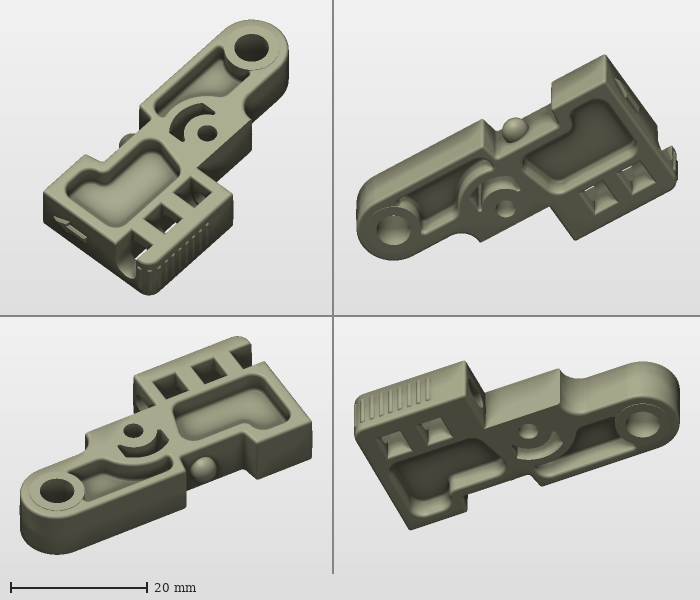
import cadquery as cq
import math

body_half_height = 4.0
draft_angle = 1.0
edge_radius = 0.45
head_radius = 5.5
shoulder_x = 8.6
shoulder_start_y = -6.5
shoulder_radius = 2.95
lug_top_y = -21.4
right_x = 15.9
bottom_y = -40.05
grip_corner_radius = 2.05

notch_center_y = -24.65
notch_floor_x = -2.5
notch_floor_half = 5.3
notch_wall_angle = 10.0
ball_diameter = 4.0
ball_x = -2.95
ball_y = -22.9

collar_diameter = 8.1
collar_half_height = 4.1
pivot_hole_diameter = 5.05
pin_hole_diameter = 2.95
pin_x = 5.55
pin_y = -15.9
slot_inner_radius = 3.45
slot_outer_radius = 5.6
slot_half_length = 3.7
slot_tip_radius = 0.35
slot_draft = 2.0

pocket_depth = 3.2
pocket_edge_radius = 0.45
upper_left_x = -3.9
upper_right_x = 2.9
upper_wall_radius = 7.1
upper_left_top_y = -2.7
upper_right_top_y = -3.35
upper_top_radius = 0.6
upper_bend_radius = 1.65
upper_tip_radius = 0.35
upper_wall_middle_angle = 30.0
upper_bottom_y = -18.05
upper_bottom_radius = 1.95
lower_left_x = -3.5
lower_neck_x = -0.55
lower_right_x = 7.6
lower_bottom_y = -38.05
lower_step_y = -32.1
lower_top_y = -21.1
lower_top_angle = 16.0
lower_corner_radius = 2.02
lower_neck_radius = 1.4

channel_x = 11.15
channel_diameter = 4.0
window_length = 3.75
window_pitch = 6.5 / 2
first_window_y = -25.3
window_count = 5
window_edge_radius = 0.35
outlet_height = 2.95
outlet_spread = 2.3

ridge_radius = 0.45
ridge_height = 0.2
ridge_half_length = 2.55
ridge_chamfer = 0.15
straight_ridges = 8
straight_ridge_span = 10.5

arrow_height = 0.45
arrow_chamfer = 0.3
arrow_tip_x = -3.05
arrow_base_x = 0.05
arrow_tail_x = 3.5
arrow_head_half = 1.4
arrow_shaft_half = 0.7

sink = 0.15
tolerance = 4.6e-07


def rounded_outline(corners):
    """Closed outline through (x, y, radius) corners, each rounded by a tangent arc."""
    outline = cq.Workplane("XY")
    count = len(corners)
    current = None
    for i in range(count):
        x, y, radius = corners[i]
        point = cq.Vector(x, y)
        back = (cq.Vector(*corners[i - 1][:2]) - point).normalized()
        ahead = (cq.Vector(*corners[(i + 1) % count][:2]) - point).normalized()
        half_angle = back.getAngle(ahead) / 2
        tangent_length = radius / math.tan(half_angle)
        arc_start = point + back * tangent_length
        arc_end = point + ahead * tangent_length
        arc_middle = point + (back + ahead).normalized() * (radius / math.sin(half_angle) - radius)
        if current is None:
            outline = outline.moveTo(arc_start.x, arc_start.y)
        elif (arc_start - current).Length > tolerance:
            outline = outline.lineTo(arc_start.x, arc_start.y)
        if radius > 0:
            outline = outline.threePointArc(arc_middle.toTuple()[:2], arc_end.toTuple()[:2])
        current = arc_end
    return outline.close()


def both_halves(half):
    return half.union(half.mirror("XY"))


def upright_edge(x, y):
    """Select the edge whose middle is closest to a point of an outline, at half pocket depth."""
    return cq.selectors.NearestToPointSelector((x, y, body_half_height - pocket_depth / 2))


def drafted_plate(corners):
    """Upper half plate with drafted sides and a rounded top edge."""
    plate = rounded_outline(corners).extrude(body_half_height, taper=draft_angle)
    return plate.faces(">Z").edges().fillet(edge_radius)


def half_body():
    notch_drop = (notch_floor_x + head_radius) * math.tan(math.radians(notch_wall_angle))
    floor_top_y = notch_center_y + notch_floor_half
    floor_bottom_y = notch_center_y - notch_floor_half
    shoulder_y = shoulder_start_y - shoulder_radius
    arm = drafted_plate(
        [
            (-head_radius, head_radius, head_radius),
            (head_radius, head_radius, head_radius),
            (head_radius, shoulder_y, shoulder_radius),
            (right_x, shoulder_y, 0),
            (right_x, bottom_y, 0),
            (-head_radius, bottom_y, edge_radius),
            (-head_radius, floor_bottom_y - notch_drop, edge_radius),
            (notch_floor_x, floor_bottom_y, edge_radius),
            (notch_floor_x, floor_top_y, edge_radius),
            (-head_radius, floor_top_y + notch_drop, edge_radius),
        ]
    )
    trim_length = 2 * (shoulder_y - bottom_y)
    arm = arm.cut(
        cq.Workplane("XY")
        .center(shoulder_x, bottom_y)
        .box(trim_length, 2 * trim_length, 2 * body_half_height + 0.45, centered=(False, True, True))
    )
    lug = drafted_plate(
        [
            (pin_x, lug_top_y, 0),
            (right_x, lug_top_y, edge_radius),
            (right_x, bottom_y, grip_corner_radius),
            (pin_x, bottom_y, 0),
        ]
    )
    return arm.union(lug)


def upper_pocket():
    """Sharp-cornered outline along the collar and the slot wall, then rounded upright edges."""
    arc_top_y = pin_y + math.sqrt(upper_wall_radius**2 - (pin_x - upper_right_x) ** 2)
    arc_end_x = pin_x - math.sqrt(upper_wall_radius**2 - (pin_y - upper_bottom_y) ** 2)
    pocket = (
        cq.Workplane("XY")
        .workplane(offset=body_half_height - pocket_depth)
        .moveTo(upper_left_x, upper_left_top_y)
        .lineTo(upper_right_x, upper_right_top_y)
        .lineTo(upper_right_x, arc_top_y)
        .threePointArc(
            (
                pin_x - upper_wall_radius * math.cos(math.radians(upper_wall_middle_angle)),
                pin_y + upper_wall_radius * math.sin(math.radians(upper_wall_middle_angle)),
            ),
            (arc_end_x, upper_bottom_y),
        )
        .lineTo(upper_left_x, upper_bottom_y)
        .close()
        .extrude(pocket_depth)
    )
    for x, y, radius in (
        (upper_left_x, upper_left_top_y, upper_top_radius),
        (upper_right_x, upper_right_top_y, upper_top_radius),
        (upper_right_x, arc_top_y, upper_bend_radius),
        (upper_left_x, upper_bottom_y, upper_bottom_radius),
        (arc_end_x, upper_bottom_y, upper_tip_radius),
    ):
        pocket = pocket.edges(upright_edge(x, y)).fillet(radius)
    return pocket


def lower_pocket():
    neck_rise = (lower_neck_x - lower_left_x) * math.tan(math.radians(notch_wall_angle))
    top_drop = (lower_right_x - lower_neck_x) * math.tan(math.radians(lower_top_angle))
    return (
        rounded_outline(
            [
                (lower_neck_x, lower_top_y, lower_corner_radius),
                (lower_right_x, lower_top_y - top_drop, lower_corner_radius),
                (lower_right_x, lower_bottom_y, lower_corner_radius),
                (lower_left_x, lower_bottom_y, lower_corner_radius),
                (lower_left_x, lower_step_y, lower_corner_radius),
                (lower_neck_x, lower_step_y + neck_rise, lower_neck_radius),
            ]
        )
        .extrude(pocket_depth)
        .translate((0, 0, body_half_height - pocket_depth))
    )


def round_rim(body, cutter, radius):
    """Round the top edges of the body that run along the top outline of a cutter."""
    outline = cutter.faces(">Z").edges().vals()
    rim = [
        edge
        for edge in body.faces(">Z").edges().vals()
        if any(
            edge.distance(wanted) < tolerance
            and wanted.distance(cq.Vertex.makeVertex(*edge.Center().toTuple())) < tolerance
            for wanted in outline
        )
    ]
    return body.newObject(rim).fillet(radius)


def cut_pocket(body, pocket):
    """Cut a pocket from the top with a rounded floor edge and a rounded rim."""
    body = body.cut(pocket.faces("<Z").edges().fillet(pocket_edge_radius))
    return round_rim(body, pocket, pocket_edge_radius)


def half_collar():
    """Upper half of the collar, with a concave round where it stands on the pocket floor."""
    radius = collar_diameter / 2
    floor_z = body_half_height - pocket_depth
    bend = pocket_edge_radius * (1 - math.sqrt(0.5))
    return (
        cq.Workplane("XZ")
        .lineTo(radius + pocket_edge_radius, 0)
        .lineTo(radius + pocket_edge_radius, floor_z)
        .threePointArc((radius + bend, floor_z + bend), (radius, floor_z + pocket_edge_radius))
        .lineTo(radius, collar_half_height)
        .lineTo(0, collar_half_height)
        .close()
        .revolve(360, (0, 0, 0), (0, 1, 0))
    )


def flared_profile(plane, width):
    """Profile of a window in an upright plane: straight sides turning outward at the top face."""
    c = math.sqrt(0.5)
    side = width / 2
    bend_x = side + window_edge_radius * (1 - c)
    bend_z = body_half_height - window_edge_radius * (1 - c)
    return (
        cq.Workplane(plane)
        .moveTo(-side, 0)
        .lineTo(-side, body_half_height - window_edge_radius)
        .threePointArc((-bend_x, bend_z), (-side - window_edge_radius, body_half_height))
        .lineTo(side + window_edge_radius, body_half_height)
        .threePointArc((bend_x, bend_z), (side, body_half_height - window_edge_radius))
        .lineTo(side, 0)
        .close()
    )


def make_window(length):
    across = flared_profile("XZ", channel_diameter).extrude(length, both=True)
    along = flared_profile("YZ", length).extrude(channel_diameter, both=True)
    return across.intersect(along)


def cut_channel(body):
    """Lengthwise channel opened by windows from above and below in turn."""
    start_y = first_window_y + window_length / 2
    channel_length = start_y - bottom_y + sink
    body = body.cut(
        cq.Workplane("XZ", origin=(channel_x, start_y, 0)).circle(channel_diameter / 2).extrude(channel_length)
    )
    for i in range(window_count):
        top_edge_y = start_y - i * window_pitch
        length = window_length
        if i == window_count - 1:
            length = 2 * window_length
        window = make_window(length)
        if i % 2 == 1:
            window = window.mirror("XY")
        body = body.cut(window.translate((channel_x, top_edge_y - length / 2, 0)))
    outlet_length = lug_top_y - start_y + sink
    outlet = (
        cq.Workplane("XZ", origin=(channel_x + outlet_spread / 2, lug_top_y + sink, 0))
        .slot2D(outlet_height + outlet_spread, outlet_height)
        .extrude(outlet_length)
    )
    return body.cut(outlet)


def make_slot():
    """Curved slot centred on the pin hole, narrowing toward the middle plane."""
    tip_y = slot_half_length - slot_tip_radius
    tip_distance = slot_inner_radius + slot_tip_radius
    tip_x = -math.sqrt(tip_distance**2 - tip_y**2)
    corner_x = -math.sqrt(slot_outer_radius**2 - slot_half_length**2)
    touch_scale = slot_inner_radius / tip_distance
    touch_x = tip_x * touch_scale
    touch_y = tip_y * touch_scale
    half = (
        cq.Workplane("XY")
        .moveTo(corner_x, slot_half_length)
        .lineTo(tip_x, slot_half_length)
        .threePointArc((tip_x + slot_tip_radius, tip_y), (touch_x, touch_y))
        .threePointArc((-slot_inner_radius, 0), (touch_x, -touch_y))
        .threePointArc((tip_x + slot_tip_radius, -tip_y), (tip_x, -slot_half_length))
        .lineTo(corner_x, -slot_half_length)
        .threePointArc((-slot_outer_radius, 0), (corner_x, slot_half_length))
        .close()
        .extrude(-body_half_height, taper=slot_draft)
        .translate((pin_x, pin_y, body_half_height))
    )
    return both_halves(half)


def cut_holes(body):
    height = 2 * collar_half_height
    pivot_hole = cq.Workplane("XY").circle(pivot_hole_diameter / 2).extrude(height, both=True)
    pin_hole = cq.Workplane("XY").center(pin_x, pin_y).circle(pin_hole_diameter / 2).extrude(height, both=True)
    return body.cut(pivot_hole).cut(pin_hole).cut(make_slot())


def make_ball():
    """Ball with a stem of the same diameter, turned about an axis along X."""
    radius = ball_diameter / 2
    c = math.sqrt(0.5)
    stem_length = notch_floor_x - ball_x + sink
    return (
        cq.Workplane("XY", origin=(ball_x, ball_y, 0))
        .moveTo(-radius, 0)
        .threePointArc((-radius * c, radius * c), (0, radius))
        .lineTo(stem_length, radius)
        .lineTo(stem_length, 0)
        .close()
        .revolve(360, (0, 0, 0), (1, 0, 0))
    )


def make_ridge(x, y):
    ridge = cq.Workplane("XY").circle(ridge_radius).extrude(2 * ridge_half_length)
    ridge = ridge.faces("<Z or >Z").chamfer(ridge_chamfer)
    return ridge.translate((x, y, -ridge_half_length))


def add_ridges(body):
    """Ridges up the +X side and around the rounded grip corner."""
    inset = ridge_radius - ridge_height
    corner_x = right_x - grip_corner_radius
    corner_y = bottom_y + grip_corner_radius
    pitch = straight_ridge_span / (straight_ridges - 1)
    reach = grip_corner_radius - inset
    for i in range(straight_ridges):
        body = body.union(make_ridge(right_x - inset, corner_y + i * pitch))
    for angle in (-45, -90):
        turn = math.radians(angle)
        body = body.union(make_ridge(corner_x + reach * math.cos(turn), corner_y + reach * math.sin(turn)))
    return body


def make_arrow():
    points = [
        (arrow_tip_x, 0),
        (arrow_base_x, arrow_head_half),
        (arrow_base_x, arrow_shaft_half),
        (arrow_tail_x, arrow_shaft_half),
        (arrow_tail_x, -arrow_shaft_half),
        (arrow_base_x, -arrow_shaft_half),
        (arrow_base_x, -arrow_head_half),
    ]
    return (
        cq.Workplane("XZ", origin=(0, bottom_y + sink, 0))
        .polyline(points)
        .close()
        .extrude(arrow_height + sink)
        .faces("<Y")
        .chamfer(arrow_chamfer)
    )


half = half_body()
half = cut_pocket(half, upper_pocket())
half = cut_pocket(half, lower_pocket())
half = half.union(half_collar())
result = both_halves(half)
result = cut_channel(result)
result = cut_holes(result)
result = result.union(make_ball())
result = add_ridges(result).union(make_arrow())